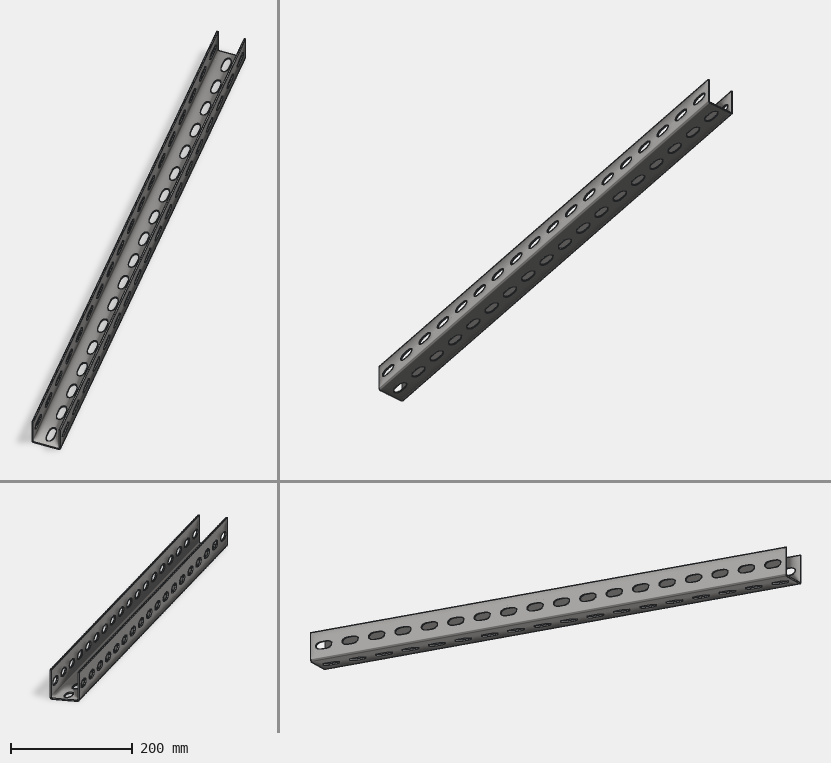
import cadquery as cq

length = 900.0
width = 50.0
height = 50.0
wall = 2.5
bend_outer_radius = 4.5
bend_inner_radius = bend_outer_radius - wall

slot_count = 18
slot_pitch = length / slot_count
slot_length = 31.0
slot_width = 13.0
slot_straight = 9.0
slot_height = height / 2
cut_margin = 9.0


def rounded_trough(trough_width, bottom, radius):
    """Solid block along Y standing on Z = bottom, with its two lower long edges rounded."""
    block = cq.Workplane("XY", origin=(0, 0, bottom)).box(
        trough_width, length, height - bottom, centered=(True, True, False)
    )
    return block.edges("|Y and <Z").fillet(radius)


def channel():
    """Folded sheet with rounded bends, centred on X and Y, underside at Z = 0."""
    outside = rounded_trough(width, 0, bend_outer_radius)
    inside = rounded_trough(width - 2 * wall, wall, bend_inner_radius)
    return outside.cut(inside)


def slot_cutter(z, normal, reach):
    """Slot with half-ellipse ends, long side along Y, extending by reach to both sides of its plane."""
    half_straight = slot_straight / 2
    half_width = slot_width / 2
    end_length = (slot_length - slot_straight) / 2
    plane = cq.Plane(origin=(0, 0, z), xDir=(0, 1, 0), normal=normal)
    return (
        cq.Workplane(plane)
        .moveTo(-half_straight, -half_width)
        .lineTo(half_straight, -half_width)
        .ellipseArc(end_length, half_width, -90, 90, startAtCurrent=True)
        .lineTo(-half_straight, half_width)
        .ellipseArc(end_length, half_width, 90, 270, startAtCurrent=True)
        .close()
        .extrude(reach, both=True)
    )


floor_slot = slot_cutter(0, (0, 0, 1), wall + cut_margin)
wall_slot = slot_cutter(slot_height, (1, 0, 0), width / 2 + cut_margin)

result = channel()
for index in range(slot_count):
    slot_y = (index + 0.5) * slot_pitch - length / 2
    result = result.cut(floor_slot.translate((0, slot_y, 0)))
    result = result.cut(wall_slot.translate((0, slot_y, 0)))